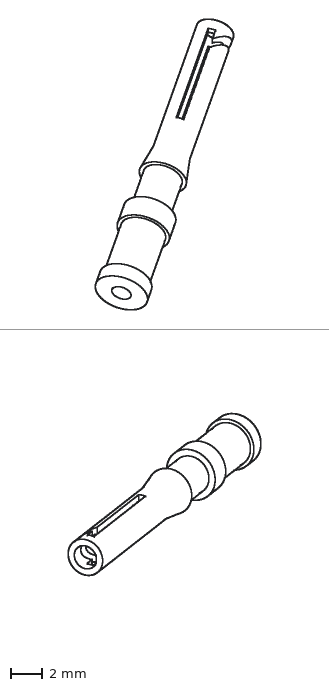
import cadquery as cq

total_length = 21.5

flange_diameter = 3.5
flange_length = 1.0
body_diameter = 3.0
body_length = 4.0
collar_length = 1.5
neck_diameter = 2.6
neck_length = 2.99
cone_diameter = 3.15
cone_length = 2.0
sleeve_diameter = 2.5

wire_hole_diameter = 1.3
socket_bore_diameter = 1.6

slot_width = 0.5
slot_length = 7.3
slot_end_wall = 0.75
branch_offset = 2.06
branch_angle = 45.0

flange_end = flange_length
body_end = flange_end + body_length
collar_end = body_end + collar_length
neck_end = collar_end + neck_length
cone_end = neck_end + cone_length
slot_end = total_length - slot_end_wall
slot_start = slot_end - slot_length


def cylinder(diameter, start, end):
    """Cylinder on the Y axis between two stations."""
    base = cq.Vector(0, start, 0)
    axis = cq.Vector(0, 1, 0)
    return cq.Workplane(cq.Solid.makeCylinder(diameter / 2, end - start, base, axis))


def turned_body():
    """Stepped and tapered outer shape, revolved about the Y axis."""
    flange_radius = flange_diameter / 2
    body_radius = body_diameter / 2
    neck_radius = neck_diameter / 2
    sleeve_radius = sleeve_diameter / 2
    profile = [
        (0, 0),
        (flange_radius, 0),
        (flange_radius, flange_end),
        (body_radius, flange_end),
        (body_radius, body_end),
        (flange_radius, body_end),
        (flange_radius, collar_end),
        (neck_radius, collar_end),
        (neck_radius, neck_end),
        (cone_diameter / 2, neck_end),
        (sleeve_radius, cone_end),
        (sleeve_radius, total_length),
        (0, total_length),
    ]
    return cq.Workplane("XY").polyline(profile).close().revolve(360, (0, 0, 0), (0, 1, 0))


def spring_slot():
    """Lengthwise slot through both walls, with a slanted branch leaving on +X."""
    cut_height = 2 * sleeve_diameter
    branch_length = 2 * sleeve_diameter
    slot = cq.Workplane("XY").box(slot_width, slot_length, cut_height)
    slot = slot.translate((0, (slot_start + slot_end) / 2, 0))
    branch = cq.Workplane("XY").box(branch_length, slot_width, cut_height, centered=(False, True, True))
    branch = branch.rotate((0, 0, 0), (0, 0, 1), branch_angle)
    branch = branch.translate((0, total_length - branch_offset, 0))
    return slot.union(branch)


wire_hole = cylinder(wire_hole_diameter, 0, body_end)
socket_bore = cylinder(socket_bore_diameter, slot_start, total_length)

result = turned_body().cut(wire_hole).cut(socket_bore).cut(spring_slot())